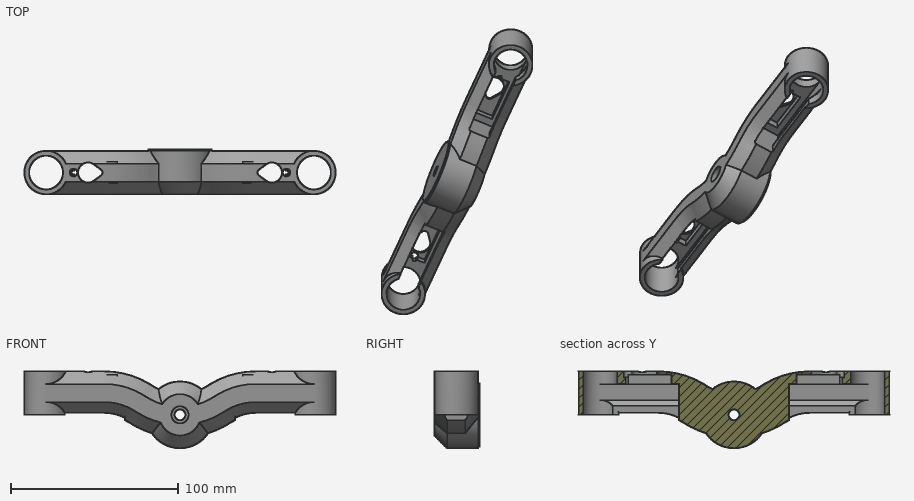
import cadquery as cq
import math

boss_spacing = 160.0
boss_diameter = 26.0
boss_height = 26.0
bore_diameter = 20.0
boss_x = boss_spacing / 2

bar_size = boss_diameter
bar_chamfer = 7.6
straight_end_x = 45.0
outer_bend_radius = 38.1
inner_bend_radius = 42.5
bend_angle = math.radians(31)

pivot_diameter = 40.0
pivot_face_diameter = 38.0
pivot_face_height = 1.0
pivot_hole_diameter = 6.3
pivot_recess_diameter = 10.2
pivot_recess_depth = 9.3

channel_width = bore_diameter
channel_ceiling_z = boss_height - bar_chamfer
channel_wall = 3.0
slot_width = 13.0
slot_end_x = 33.0
upper_slot_start_x = 63.2
upper_slot_end_x = 37.4
roof_thickness = 2.0

screw_x = 63.6
screw_hole_diameter = 2.2
screw_recess_diameter = 4.5
screw_recess_depth = 3.7
keyhole_x = 54.9
keyhole_radius = 6.0
keyhole_tip_x = 48.4
keyhole_tip_radius = 2.0

half_bar = bar_size / 2
half_slot = slot_width / 2


def box(x_range, y_range, z_range):
    """Axis-aligned box from (low, high) limits."""
    size = [high - low for low, high in (x_range, y_range, z_range)]
    corner = (x_range[0], y_range[0], z_range[0])
    return cq.Workplane("XY").box(*size, centered=False).translate(corner)


def y_cylinder(diameter, y_start, length):
    """Cylinder on the pivot axis, running toward +Y."""
    return cq.Workplane("XZ", origin=(0, y_start, 0)).circle(diameter / 2).extrude(-length)


def boss_cylinder(diameter):
    return cq.Workplane("XY").center(-boss_x, 0).circle(diameter / 2).extrude(boss_height)


def arm_path():
    """Centre line of the left arm, from the boss axis to the middle of the part."""
    outer_centre_z = half_bar - outer_bend_radius
    run = straight_end_x - (outer_bend_radius + inner_bend_radius) * math.sin(bend_angle)
    outer_end = (
        -straight_end_x + outer_bend_radius * math.sin(bend_angle),
        outer_centre_z + outer_bend_radius * math.cos(bend_angle),
    )
    inner_start = (outer_end[0] + run, outer_end[1] - run * math.tan(bend_angle))
    inner_centre_z = inner_start[1] + inner_bend_radius * math.cos(bend_angle)
    half_angle = bend_angle / 2
    outer_middle = (
        -straight_end_x + outer_bend_radius * math.sin(half_angle),
        outer_centre_z + outer_bend_radius * math.cos(half_angle),
    )
    inner_middle = (
        -inner_bend_radius * math.sin(half_angle),
        inner_centre_z - inner_bend_radius * math.cos(half_angle),
    )
    return (
        cq.Workplane("XZ")
        .moveTo(-boss_x, half_bar)
        .lineTo(-straight_end_x, half_bar)
        .threePointArc(outer_middle, outer_end)
        .lineTo(*inner_start)
        .threePointArc(inner_middle, (0, inner_centre_z - inner_bend_radius))
    )


def arm_bar():
    half_flat = half_bar - bar_chamfer
    section = [
        (half_bar, half_flat),
        (half_flat, half_bar),
        (-half_flat, half_bar),
        (-half_bar, half_flat),
        (-half_bar, -half_flat),
        (-half_flat, -half_bar),
        (half_flat, -half_bar),
        (half_bar, -half_flat),
    ]
    start = cq.Workplane("YZ", origin=(-boss_x, 0, half_bar))
    return start.polyline(section).close().sweep(arm_path())


def arm_channel():
    """Wide channel with sloped shoulders above a slot that is open at the bottom."""
    half_channel = channel_width / 2
    shoulder_offset = channel_wall * math.sqrt(2) - (half_bar - bar_chamfer)
    below_arm = -half_bar
    section = [
        (half_slot, below_arm),
        (half_slot, half_slot + shoulder_offset),
        (half_channel, half_channel + shoulder_offset),
        (half_channel, channel_ceiling_z),
    ]
    section += [(-y, z) for y, z in reversed(section)]
    start = cq.Workplane("YZ", origin=(-boss_x, 0, 0))
    return start.polyline(section).close().extrude(boss_x - slot_end_x)


def upper_slot():
    return box(
        (-upper_slot_start_x, -upper_slot_end_x),
        (-half_slot, half_slot),
        (half_bar, boss_height - roof_thickness),
    )


def keyhole():
    """Opening with a large round end and a small round tip joined by tangent flanks."""
    flank_sine = (keyhole_radius - keyhole_tip_radius) / (keyhole_x - keyhole_tip_x)
    flank_cosine = math.sqrt(1 - flank_sine**2)

    def tangent_point(centre_x, radius):
        return (-centre_x + radius * flank_sine, radius * flank_cosine)

    big_x, big_y = tangent_point(keyhole_x, keyhole_radius)
    tip_x, tip_y = tangent_point(keyhole_tip_x, keyhole_tip_radius)
    return (
        cq.Workplane("XY", origin=(0, 0, half_bar))
        .moveTo(big_x, big_y)
        .threePointArc((-keyhole_x - keyhole_radius, 0), (big_x, -big_y))
        .lineTo(tip_x, -tip_y)
        .threePointArc((-keyhole_tip_x + keyhole_tip_radius, 0), (tip_x, tip_y))
        .close()
        .extrude(half_bar)
    )


def screw_hole():
    top = cq.Workplane("XY", origin=(-screw_x, 0, boss_height))
    hole = top.circle(screw_hole_diameter / 2).extrude(-half_bar)
    recess = top.circle(screw_recess_diameter / 2).extrude(-screw_recess_depth)
    return hole.union(recess)


def left_arm():
    arm = arm_bar().union(boss_cylinder(boss_diameter))
    cutters = [boss_cylinder(bore_diameter), arm_channel(), upper_slot(), keyhole(), screw_hole()]
    for cutter in cutters:
        arm = arm.cut(cutter)
    return arm


def pivot():
    body = y_cylinder(pivot_diameter, -half_bar, bar_size).faces("<Y").chamfer(bar_chamfer)
    return body.union(y_cylinder(pivot_face_diameter, half_bar, pivot_face_height))


arm = left_arm()
result = arm.union(arm.mirror("YZ")).union(pivot())
result = result.cut(y_cylinder(pivot_hole_diameter, -half_bar, bar_size + pivot_face_height))
result = result.cut(y_cylinder(pivot_recess_diameter, -half_bar, pivot_recess_depth))